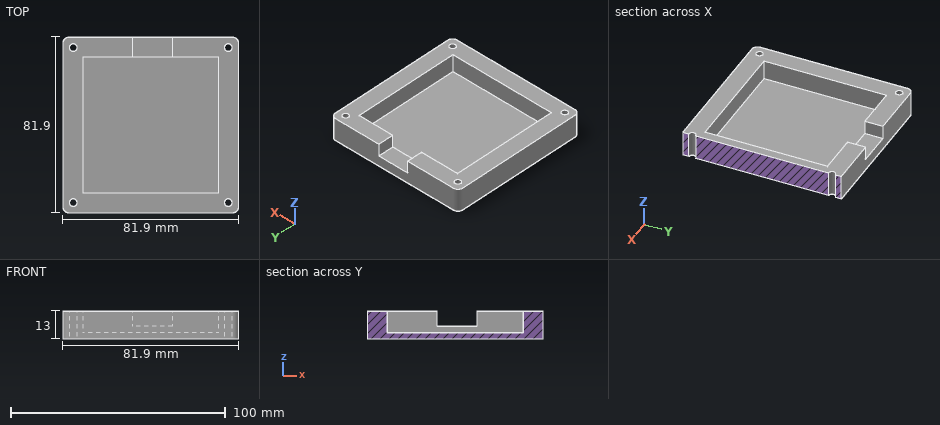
import cadquery as cq

side = 81.9
height = 13.0
corner_radius = 6.0 / 2

pocket_side = 63.25
floor_thickness = 3.0
pocket_depth = height - floor_thickness

notch_width = 18.5
notch_depth = 7.0
notch_center_x = 0.8
wall = (side - pocket_side) / 2

hole_diameter = 3.4
hole_spacing = 72.2


def make_block():
    block = cq.Workplane("XY").box(side, side, height, centered=(True, True, False))
    return block.edges("|Z").fillet(corner_radius)


def make_pocket():
    return (
        cq.Workplane("XY")
        .workplane(offset=floor_thickness)
        .rect(pocket_side, pocket_side)
        .extrude(pocket_depth)
    )


def make_notch():
    return (
        cq.Workplane("XY")
        .workplane(offset=height - notch_depth)
        .center(notch_center_x, (side - wall) / 2)
        .rect(notch_width, wall)
        .extrude(notch_depth)
    )


def make_screw_holes():
    return (
        cq.Workplane("XY")
        .rect(hole_spacing, hole_spacing, forConstruction=True)
        .vertices()
        .circle(hole_diameter / 2)
        .extrude(height)
    )


result = make_block().cut(make_pocket()).cut(make_notch()).cut(make_screw_holes())